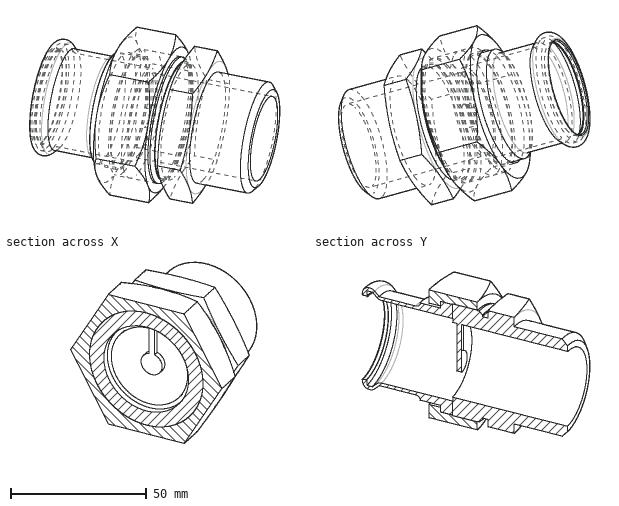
import cadquery as cq
import math


total_length = 85.0
thread_diameter = 47.8

bead_diameter = 43.95
bead_radius = 3.1
tube_diameter = 38.4
collar_diameter = 42.0
collar_start = 24.0
socket_diameter = 35.3
lip_diameter = 35.9
lip_chamfer = 0.4
lip_depth = 1.8
groove_diameter = 40.5
lip_back = 2.0
groove_floor_end = 4.25
groove_blend_radius = 3.1

nut_start = 27.6
nut_length = 20.1
nut_flats = 55.0
nut_hole_diameter = 43.35
nut_chamfer_angle = 30.0
nut_wall = 4.7

flange_start = nut_start + nut_wall
flange_length = 5.1
joint = flange_start + flange_length

adapter_bore = 32.0
thread_end = 49.8
thread_chamfer = 1.4
neck_diameter = 43.8
adapter_hex_start = 52.0
adapter_hex_length = 11.0
adapter_hex_flats = 50.0
adapter_chamfer_angle = 15.0
spigot_diameter = 42.0
spigot_chamfer_length = 2.2
spigot_end_diameter = 37.0

disc_start = joint + 1.7
disc_diameter = 8.8
strip_width = 2.4
disc_thickness = 2.1


def revolve_about_x(profile):
    """Revolve a closed (x, radius) profile about the X axis."""
    return profile.close().revolve(360, (0, 0, 0), (1, 0, 0))


def cylinder(start, end, diameter):
    """Solid cylinder on the X axis."""
    return cq.Workplane("YZ", origin=(start, 0, 0)).circle(diameter / 2).extrude(end - start)


def chamfered_hexagon(start, length, flats, chamfer_angle):
    """Hexagon with flats facing +Z and -Z, its corners turned off by a cone at each end."""
    corners = flats / math.cos(math.radians(30))
    corner_radius = corners / 2
    flat_radius = flats / 2
    chamfer_length = (corner_radius - flat_radius) * math.tan(math.radians(chamfer_angle))
    end = start + length
    prism = cq.Workplane("YZ", origin=(start, 0, 0)).polygon(6, corners).extrude(length)
    envelope = revolve_about_x(
        cq.Workplane("XY")
        .moveTo(start, 0)
        .lineTo(start, flat_radius)
        .lineTo(start + chamfer_length, corner_radius)
        .lineTo(end - chamfer_length, corner_radius)
        .lineTo(end, flat_radius)
        .lineTo(end, 0)
    )
    return prism.intersect(envelope)


def make_press_tail():
    """Tube with a rolled bead, seal groove, collar and a flange at the joint."""
    bead_center_radius = bead_diameter / 2 - bead_radius
    tube_radius = tube_diameter / 2
    collar_radius = collar_diameter / 2
    flange_radius = thread_diameter / 2
    socket_radius = socket_diameter / 2
    lip_radius = lip_diameter / 2
    shoulder_radius = collar_radius - tube_radius
    shoulder_start = collar_start - shoulder_radius
    diagonal = math.sqrt(0.5)
    tangent_x = bead_radius * (1 + diagonal)
    tangent_radius = bead_center_radius + bead_radius * diagonal
    bead_end = tangent_x + tangent_radius - tube_radius
    groove_radius = groove_diameter / 2
    slope_end_radius = socket_radius + groove_blend_radius * (1 - diagonal)
    slope_end_x = groove_floor_end + groove_radius - slope_end_radius
    groove_end = slope_end_x + groove_blend_radius * diagonal
    half_blend = math.radians(45 / 2)
    blend_middle_x = groove_end - groove_blend_radius * math.sin(half_blend)
    blend_middle_radius = socket_radius + groove_blend_radius * (1 - math.cos(half_blend))
    return revolve_about_x(
        cq.Workplane("XY")
        .moveTo(0, bead_center_radius)
        .threePointArc((bead_radius, bead_diameter / 2), (tangent_x, tangent_radius))
        .lineTo(bead_end, tube_radius)
        .lineTo(shoulder_start, tube_radius)
        .threePointArc(
            (
                shoulder_start + shoulder_radius * diagonal,
                collar_radius - shoulder_radius * diagonal,
            ),
            (collar_start, collar_radius),
        )
        .lineTo(flange_start, collar_radius)
        .lineTo(flange_start, flange_radius)
        .lineTo(joint, flange_radius)
        .lineTo(joint, socket_radius)
        .lineTo(groove_end, socket_radius)
        .threePointArc((blend_middle_x, blend_middle_radius), (slope_end_x, slope_end_radius))
        .lineTo(groove_floor_end, groove_radius)
        .lineTo(lip_back, groove_radius)
        .lineTo(lip_back, socket_radius)
        .lineTo(lip_depth, lip_radius)
        .lineTo(lip_chamfer, lip_radius)
        .lineTo(0, lip_radius + lip_chamfer)
    )


def make_union_nut():
    """Hexagon nut: a collar hole through the front wall and a threaded bore behind it."""
    nut_end = nut_start + nut_length
    return (
        chamfered_hexagon(nut_start, nut_length, nut_flats, nut_chamfer_angle)
        .cut(cylinder(nut_start, flange_start, nut_hole_diameter))
        .cut(cylinder(flange_start, nut_end, thread_diameter))
    )


def make_disc_and_strip():
    """Central disc hung from the bore wall at +Z by a straight strip."""
    wall_overlap = 0.85
    strip_length = adapter_bore / 2 + wall_overlap
    strip = (
        cq.Workplane("YZ", origin=(disc_start, 0, 0))
        .center(0, strip_length / 2)
        .rect(strip_width, strip_length)
        .extrude(disc_thickness)
    )
    return cylinder(disc_start, disc_start + disc_thickness, disc_diameter).union(strip)


def make_adapter():
    """Threaded end, neck, hexagon and spigot in one piece, bored through."""
    thread_radius = thread_diameter / 2
    neck_radius = neck_diameter / 2
    spigot_radius = spigot_diameter / 2
    turned_body = revolve_about_x(
        cq.Workplane("XY")
        .moveTo(joint, 0)
        .lineTo(joint, thread_radius)
        .lineTo(thread_end - thread_chamfer, thread_radius)
        .lineTo(thread_end, thread_radius - thread_chamfer)
        .lineTo(thread_end, neck_radius)
        .lineTo(adapter_hex_start, neck_radius)
        .lineTo(adapter_hex_start, spigot_radius)
        .lineTo(total_length - spigot_chamfer_length, spigot_radius)
        .lineTo(total_length, spigot_end_diameter / 2)
        .lineTo(total_length, 0)
    )
    hexagon = chamfered_hexagon(
        adapter_hex_start, adapter_hex_length, adapter_hex_flats, adapter_chamfer_angle
    )
    bored_body = turned_body.union(hexagon).cut(cylinder(joint, total_length, adapter_bore))
    return bored_body.union(make_disc_and_strip())


press_tail = make_press_tail()
union_nut = make_union_nut()
adapter = make_adapter()

result = cq.Compound.makeCompound([press_tail.val(), union_nut.val(), adapter.val()])